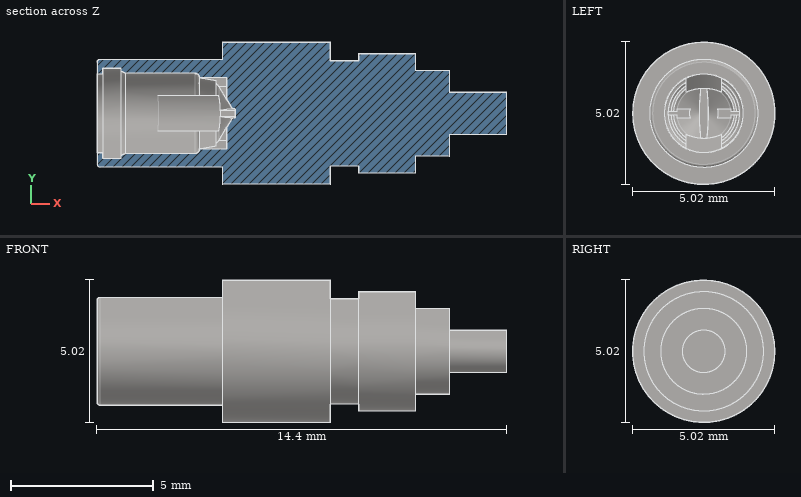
import cadquery as cq
import math

outer_sections = [
    (1.9, 4.41),
    (2.51, 8.21),
    (1.86, 9.21),
    (2.1, 11.21),
    (1.51, 12.4),
    (0.75, 14.41),
]
mouth_fillet = 0.1

lip_radius = 1.38
lip_depth = 0.2
groove_radius = 1.59
groove_end = 0.84
lead_in_radius = 1.48
lead_in_end = 1.0
bore_radius = 1.41
bore_depth = 3.6

shoulder_radius = 1.25
seat_outer_radius = 1.15
seat_inner_radius = 1.07
cone_radius = 0.95
floor_fillet = bore_radius - shoulder_radius
seat_depth = bore_depth + 0.58
cone_start = seat_depth + 0.12
cone_depth = 0.56
cone_tip = cone_start + cone_depth

ramp_width = 1.25
ramp_inner_height = 0.88
ramp_start = bore_depth - 1.44

slit_width = 0.12
side_slot_width = 0.32
side_slot_inner_radius = 0.5
center_slot_width = 0.32
center_slot_end_width = 0.22


def cone_surface_x(radius):
    """X position of the central cone at a given radius."""
    return cone_tip - cone_depth * radius / cone_radius


def box_between(x_range, y_range, z_range):
    """Box given by its limits along each axis."""
    ranges = (x_range, y_range, z_range)
    sizes = [high - low for low, high in ranges]
    corner = tuple(low for low, high in ranges)
    return cq.Workplane("XY").box(*sizes, centered=False).translate(corner)


def outer_body():
    profile = cq.Workplane("XY").moveTo(0, 0)
    start = 0
    for radius, end in outer_sections:
        profile = profile.lineTo(start, radius).lineTo(end, radius)
        start = end
    body = profile.lineTo(start, 0).close().revolve(360, (0, 0, 0), (1, 0, 0))
    return body.faces("<X").edges().fillet(mouth_fillet)


def socket_cavity():
    fillet_start = bore_depth - floor_fillet
    arc_offset = floor_fillet * math.sqrt(0.5)
    return (
        cq.Workplane("XY")
        .moveTo(0, 0)
        .lineTo(0, lip_radius)
        .lineTo(lip_depth, lip_radius)
        .lineTo(lip_depth, groove_radius)
        .lineTo(groove_end, groove_radius)
        .lineTo(groove_end, lead_in_radius)
        .lineTo(lead_in_end, bore_radius)
        .lineTo(fillet_start, bore_radius)
        .threePointArc(
            (fillet_start + arc_offset, shoulder_radius + arc_offset),
            (bore_depth, shoulder_radius),
        )
        .lineTo(seat_depth, seat_outer_radius)
        .lineTo(seat_depth, seat_inner_radius)
        .lineTo(cone_start, cone_radius)
        .lineTo(cone_tip, 0)
        .close()
        .revolve(360, (0, 0, 0), (1, 0, 0))
    )


def upper_ramp():
    """Upper ramp: its hollow face slopes from the bore wall down to the cone."""
    ramp_end = cone_surface_x(ramp_inner_height)
    run = ramp_end - ramp_start
    drop = bore_radius - ramp_inner_height
    slope = math.atan2(drop, run)
    cylinder_reach = 2 * run
    cylinder = (
        cq.Workplane("YZ")
        .circle(bore_radius)
        .extrude(cylinder_reach, both=True)
        .translate((0, 0, -bore_radius))
        .rotate((0, 0, 0), (0, 1, 0), math.degrees(slope))
        .translate((ramp_start, 0, bore_radius))
    )
    half_width = ramp_width / 2
    block = box_between(
        (ramp_start - run, ramp_end),
        (-half_width, half_width),
        (bore_radius / 2, bore_radius),
    )
    return block.cut(cylinder)


def side_slots():
    """Slit through the funnel rings and wider slot in the cone, across the Y direction."""
    floor_x = cone_surface_x(side_slot_inner_radius)
    cross_sections = [(slit_width, shoulder_radius), (side_slot_width, cone_radius)]
    slots = cq.Workplane("XY")
    for width, reach in cross_sections:
        slots = slots.add(box_between((bore_depth, floor_x), (-reach, reach), (-width / 2, width / 2)))
    return slots.combine()


def center_slot():
    """Vertical slot through the cone, slightly wider in the middle, floor level with the tip."""
    half_end = center_slot_end_width / 2
    half_middle = center_slot_width / 2
    height = ramp_inner_height
    return (
        cq.Workplane("YZ", origin=(cone_start, 0, 0))
        .moveTo(-half_end, -height)
        .lineTo(half_end, -height)
        .threePointArc((half_middle, 0), (half_end, height))
        .lineTo(-half_end, height)
        .threePointArc((-half_middle, 0), (-half_end, -height))
        .close()
        .extrude(cone_depth)
    )


ramp = upper_ramp()
result = (
    outer_body()
    .cut(socket_cavity())
    .cut(side_slots())
    .cut(center_slot())
    .union(ramp)
    .union(ramp.mirror("XY"))
)